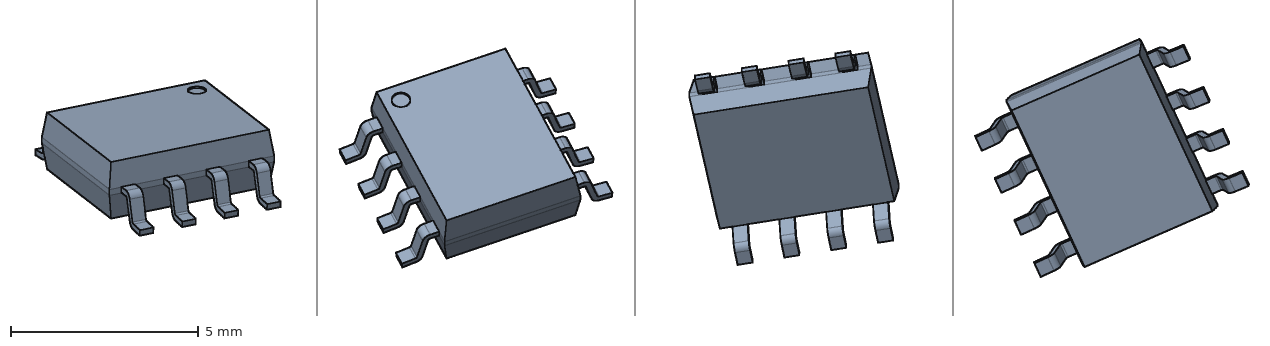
import cadquery as cq
import math

overall_length = 6.12
body_width = 3.955
body_depth = 4.95

standoff = 0.1
lower_height = 0.745
band_height = 0.17
upper_height = 0.735
taper_angle = 8.0
band_bottom = standoff + lower_height
band_top = band_bottom + band_height
body_top = band_top + upper_height

mark_diameter = 0.495
mark_depth = 0.05
mark_x = -1.38
mark_y = 1.87

lead_thickness = band_height
lead_width = 0.41
lead_pitch = 1.27
leads_per_side = 4
inner_bend_radius = 0.055
leg_angle = math.radians(75)
foot_angle = math.radians(5)
foot_length = 0.39
embed = 0.185


def make_body():
    band = (
        cq.Workplane("XY")
        .workplane(offset=band_bottom)
        .rect(body_width, body_depth)
        .extrude(band_height)
    )
    upper = band.faces(">Z").wires().toPending().workplane().extrude(upper_height, taper=taper_angle)
    return upper.faces("<Z").wires().toPending().workplane().extrude(lower_height, taper=taper_angle)


def cut_mark(body):
    mark = (
        cq.Workplane("XY")
        .workplane(offset=body_top - mark_depth)
        .center(mark_x, mark_y)
        .circle(mark_diameter / 2)
        .extrude(mark_depth)
    )
    return body.cut(mark)


def make_lead():
    """Left-hand lead centred on Y = 0: a flat strip swept along its bent centreline."""
    bend_radius = inner_bend_radius + lead_thickness / 2
    half_thickness = lead_thickness / 2

    toe_x = -overall_length / 2 + half_thickness * math.sin(foot_angle)
    toe_z = half_thickness * math.cos(foot_angle)
    foot_end = (toe_x + foot_length * math.cos(foot_angle), toe_z + foot_length * math.sin(foot_angle))

    ankle_x = foot_end[0] - bend_radius * math.sin(foot_angle)
    ankle_z = foot_end[1] + bend_radius * math.cos(foot_angle)

    def ankle_point(slope):
        return (ankle_x + bend_radius * math.sin(slope), ankle_z - bend_radius * math.cos(slope))

    leg_bottom = ankle_point(leg_angle)
    shoulder_z = band_bottom + half_thickness - bend_radius
    leg_top_z = shoulder_z + bend_radius * math.cos(leg_angle)
    leg_top_x = leg_bottom[0] + (leg_top_z - leg_bottom[1]) / math.tan(leg_angle)
    shoulder_x = leg_top_x + bend_radius * math.sin(leg_angle)

    def shoulder_point(slope):
        return (shoulder_x - bend_radius * math.sin(slope), shoulder_z + bend_radius * math.cos(slope))

    root = (-body_width / 2 + embed, band_bottom + half_thickness)
    centreline = (
        cq.Workplane("XZ")
        .moveTo(*root)
        .lineTo(*shoulder_point(0))
        .threePointArc(shoulder_point(leg_angle / 2), shoulder_point(leg_angle))
        .lineTo(*leg_bottom)
        .threePointArc(ankle_point((leg_angle + foot_angle) / 2), foot_end)
        .lineTo(toe_x, toe_z)
    )
    section = cq.Workplane("YZ", origin=(root[0], 0, root[1])).rect(lead_width, lead_thickness)
    return section.sweep(centreline)


def add_leads(body):
    left_lead = make_lead()
    right_lead = left_lead.mirror("YZ")
    for index in range(leads_per_side):
        lead_y = (index - (leads_per_side - 1) / 2) * lead_pitch
        body = body.union(left_lead.translate((0, lead_y, 0)))
        body = body.union(right_lead.translate((0, lead_y, 0)))
    return body


result = add_leads(cut_mark(make_body()))